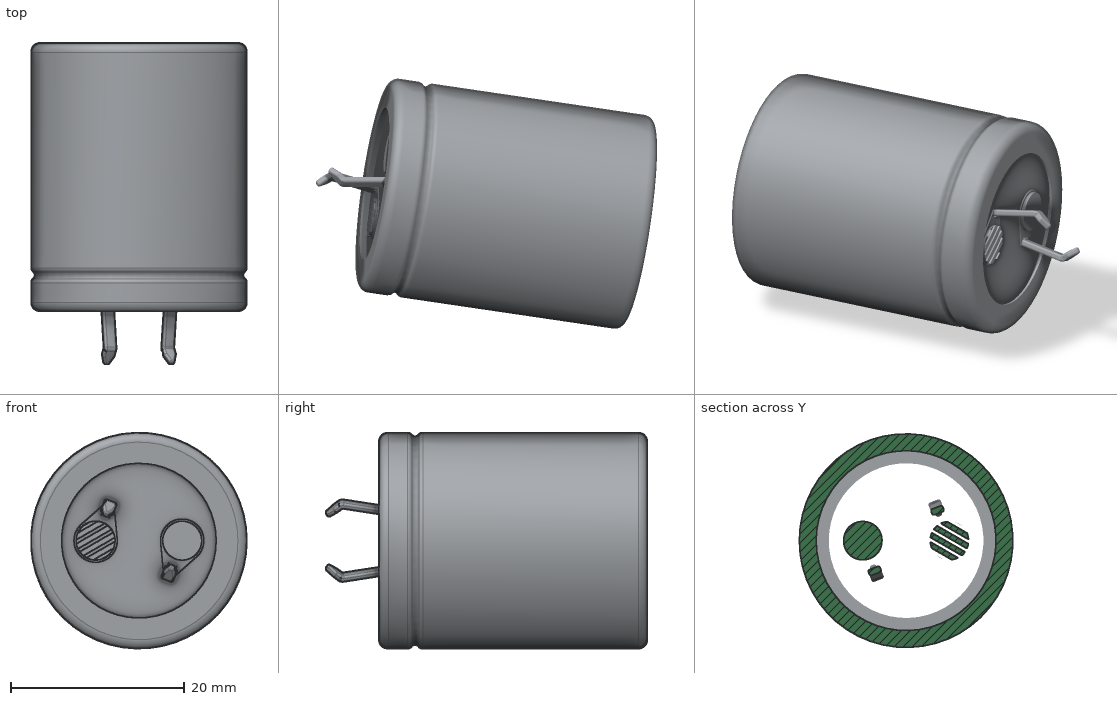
import cadquery as cq
import math


can_radius = 24.96 / 2
can_length = 31.0
end_round = 1.07

groove_y = 4.18
groove_depth = 0.42
groove_lip_half_width = 0.875
groove_floor_half_width = 0.41

rim_opening_radius = 17.86 / 2
rim_thickness = 0.25
disc_radius = 20.71 / 2
disc_recess = 1.05

terminal_x = 5.0
tab_radius = 2.5
tab_thickness = 0.15
rivet_radius = 4.5 / 2
rivet_height = 0.4

slit_width = 0.4
slit_pitch = 1.0
slit_count = 5
slit_depth = 0.2
slit_angle = 30.0

tab_angle = 68.5
pin_width = 1.5
pin_thickness = 0.75
pin_edge_round = 0.25
root_reach = 3.3
knee_reach = 4.17
knee_y = -4.2
tip_reach = 2.9
tip_width = 0.55
taper_start = 0.85
pin_end_y = -6.22
root_bend_radius = 0.3

floor_y = disc_recess
tab_face_y = floor_y - tab_thickness
lower_lean = math.atan2(knee_reach - root_reach, floor_y - knee_y)
tip_lean = math.atan2(tip_reach - knee_reach, knee_y - pin_end_y)


def make_can():
    """Revolved can with rounded ends, a crimp groove and the sunken base disc."""
    lip_share = 1 - groove_floor_half_width / groove_lip_half_width
    bend = 2 * math.atan(groove_depth / groove_lip_half_width)
    lip_arc_radius = groove_lip_half_width * lip_share / math.sin(bend)
    floor_arc_radius = groove_floor_half_width / math.sin(bend)
    groove_radius = can_radius - groove_depth

    def lip_point(side, angle):
        return (
            can_radius - lip_arc_radius * (1 - math.cos(angle)),
            groove_y + side * (groove_lip_half_width - lip_arc_radius * math.sin(angle)),
        )

    def floor_point(side, angle):
        return (
            groove_radius + floor_arc_radius * (1 - math.cos(angle)),
            groove_y + side * floor_arc_radius * math.sin(angle),
        )

    round_middle = end_round * (1 - math.sqrt(0.5))
    profile = (
        cq.Workplane("XY")
        .moveTo(0, floor_y)
        .lineTo(disc_radius, floor_y)
        .lineTo(disc_radius, rim_thickness)
        .lineTo(rim_opening_radius, rim_thickness)
        .lineTo(rim_opening_radius, 0)
        .lineTo(can_radius - end_round, 0)
        .threePointArc((can_radius - round_middle, round_middle), (can_radius, end_round))
        .lineTo(*lip_point(-1, 0))
        .threePointArc(lip_point(-1, bend / 2), lip_point(-1, bend))
        .threePointArc(floor_point(-1, bend / 2), floor_point(-1, 0))
        .threePointArc(floor_point(1, bend / 2), floor_point(1, bend))
        .threePointArc(lip_point(1, bend / 2), lip_point(1, 0))
        .lineTo(can_radius, can_length - end_round)
        .threePointArc(
            (can_radius - round_middle, can_length - round_middle),
            (can_radius - end_round, can_length),
        )
        .lineTo(0, can_length)
        .close()
    )
    return profile.revolve(360, (0, 0, 0), (0, 1, 0))


def make_tab():
    """Teardrop plate around the rivet axis, pointing along +X."""
    end_reach = root_reach + pin_thickness
    half_width = pin_width / 2
    tangent_angle = math.atan2(half_width, end_reach) + math.acos(
        tab_radius / math.hypot(end_reach, half_width)
    )
    tangent_x = tab_radius * math.cos(tangent_angle)
    tangent_z = tab_radius * math.sin(tangent_angle)
    return (
        cq.Workplane("XZ", origin=(0, floor_y, 0))
        .moveTo(end_reach, half_width)
        .lineTo(tangent_x, tangent_z)
        .threePointArc((-tab_radius, 0), (tangent_x, -tangent_z))
        .lineTo(end_reach, -half_width)
        .close()
        .extrude(tab_thickness)
    )


def make_pin():
    """Bent flat pin with a tapered tip and rounded edges, pointing along +X of the tab."""

    def outer_point(reach, y, lean):
        """The point of the outer face opposite a point of the inner face."""
        return (reach + pin_thickness * math.cos(lean), y + pin_thickness * math.sin(lean))

    tip_y = pin_end_y - pin_thickness * math.sin(tip_lean)
    blade = (
        cq.Workplane("XY")
        .moveTo(root_reach, floor_y)
        .lineTo(root_reach + pin_thickness / math.cos(lower_lean), floor_y)
        .lineTo(*outer_point(knee_reach, knee_y, lower_lean))
        .threePointArc(
            outer_point(knee_reach, knee_y, (lower_lean + tip_lean) / 2),
            outer_point(knee_reach, knee_y, tip_lean),
        )
        .lineTo(*outer_point(tip_reach, tip_y, tip_lean))
        .lineTo(tip_reach, tip_y)
        .lineTo(knee_reach, knee_y)
        .close()
        .extrude(pin_width / 2, both=True)
    )
    tip_length = math.hypot(tip_reach - knee_reach, tip_y - knee_y)
    tip_plane = cq.Plane(
        origin=(knee_reach, knee_y, 0),
        xDir=(tip_reach - knee_reach, tip_y - knee_y, 0),
        normal=(math.cos(tip_lean), math.sin(tip_lean), 0),
    )
    outline = (
        cq.Workplane(tip_plane)
        .moveTo(-can_length, -pin_width / 2)
        .lineTo(taper_start, -pin_width / 2)
        .lineTo(tip_length, -tip_width / 2)
        .lineTo(tip_length, tip_width / 2)
        .lineTo(taper_start, pin_width / 2)
        .lineTo(-can_length, pin_width / 2)
        .close()
        .extrude(can_length, both=True)
    )
    return blade.intersect(outline).edges("not >Y").fillet(pin_edge_round)


def make_root_bend():
    """Concave round between the tab face and the inner face of the pin."""
    width = pin_width - 2 * pin_edge_round
    corner = root_reach + tab_thickness * math.tan(lower_lean)
    tangent = root_bend_radius * math.tan((math.pi / 2 + lower_lean) / 2)
    center = (corner - tangent, tab_face_y - root_bend_radius)
    middle_angle = (math.pi / 2 + lower_lean) / 2

    def arc_point(angle):
        return (
            center[0] + root_bend_radius * math.cos(angle),
            center[1] + root_bend_radius * math.sin(angle),
        )

    return (
        cq.Workplane("XY")
        .moveTo(corner + pin_edge_round, floor_y)
        .lineTo(corner - tangent, floor_y)
        .lineTo(*arc_point(math.pi / 2))
        .threePointArc(arc_point(middle_angle), arc_point(lower_lean))
        .lineTo(corner + pin_edge_round, arc_point(lower_lean)[1])
        .close()
        .extrude(width / 2, both=True)
    )


def make_rivet():
    """Round rivet head standing on the tab."""
    return (
        cq.Workplane("XZ", origin=(0, floor_y, 0))
        .circle(rivet_radius)
        .extrude(tab_thickness + rivet_height)
    )


def place(shape, angle, x):
    """Turn a tab part about its rivet axis, then move it to the rivet position."""
    return shape.rotate((0, 0, 0), (0, 1, 0), -angle).translate((x, 0, 0))


def cut_slits(body):
    """Parallel grooves marking the negative rivet."""
    rivet_face_y = tab_face_y - rivet_height
    slits = (
        cq.Workplane("XZ", origin=(0, rivet_face_y + slit_depth, 0))
        .rarray(1, slit_pitch, 1, slit_count)
        .rect(2 * rivet_radius, slit_width)
        .extrude(slit_depth)
    )
    rivet_space = cq.Workplane("XZ", origin=(0, floor_y, 0)).circle(rivet_radius).extrude(can_length)
    return body.cut(place(slits.intersect(rivet_space), slit_angle, -terminal_x))


result = make_can()
for side in (-1, 1):
    turn = tab_angle if side < 0 else tab_angle + 180
    for piece in (make_tab(), make_rivet(), make_pin(), make_root_bend()):
        result = result.union(place(piece, turn, side * terminal_x))
result = cut_slits(result)